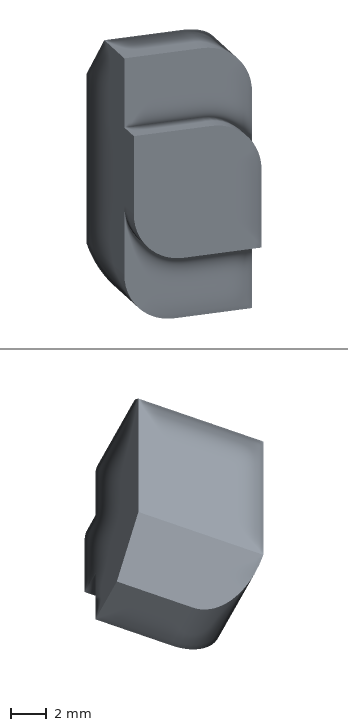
import cadquery as cq

height = 16.0
width = 7.7
body_depth = 6.0
corner_radius = 3.0

top_slope_run = 2.83
top_slope_drop = corner_radius
bottom_slope_run = top_slope_drop
bottom_slope_drop = top_slope_run

boss_depth = 1.5
boss_height = width


def rounded_plate(plate_width, plate_height, start_x, depth):
    """Plate along +X, rounded at its two opposite corners (+Y, +Z) and (-Y, -Z)."""
    plate = cq.Workplane("YZ", origin=(start_x, 0, 0)).rect(plate_width, plate_height).extrude(depth)
    return plate.edges("|X and (>(0, 1, 1) or <(0, 1, 1))").fillet(corner_radius)


def sloped_cut(run, drop, side):
    """Wedge across the full width at the top (side = 1) or bottom (side = -1) of the -X face."""
    edge_z = side * height / 2
    corners = [(0, edge_z), (run, edge_z), (0, edge_z - side * drop)]
    return cq.Workplane("XZ").polyline(corners).close().extrude(width, both=True)


body = rounded_plate(width, height, 0, body_depth)
body = body.cut(sloped_cut(top_slope_run, top_slope_drop, 1))
body = body.cut(sloped_cut(bottom_slope_run, bottom_slope_drop, -1))

boss = rounded_plate(width, boss_height, body_depth, boss_depth)

result = body.union(boss)